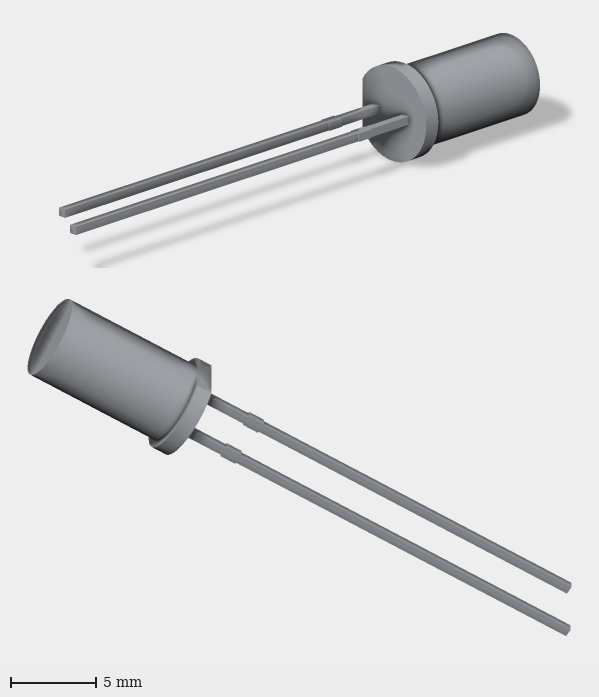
import cadquery as cq

total_length = 36.6
body_length = 9.63
body_diameter = 5.0
flange_diameter = 5.9
flange_thickness = 1.0

lead_spacing = 2.53
lead_thickness = 0.5
short_lead_step = 1.5
stopper_width = 0.7
stopper_length = 1.02
stopper_gap = 3.15

body_radius = body_diameter / 2
long_lead_length = total_length - body_length
short_lead_length = long_lead_length - short_lead_step
lead_embed = flange_thickness / 2


def cylinder_along_y(radius, length):
    """Cylinder on the Y axis from Y = 0 to Y = length."""
    return cq.Workplane("XZ").circle(radius).extrude(-length)


def box_along_y(center_x, width, y_start, y_end):
    """Bar of lead thickness, centred in Z, between two Y positions."""
    length = y_end - y_start
    bar = cq.Workplane("XY").box(width, length, lead_thickness)
    return bar.translate((center_x, (y_start + y_end) / 2, 0))


def make_flange():
    """Round flange with a flat on -X, level with the side of the body."""
    flange = cylinder_along_y(flange_diameter / 2, flange_thickness)
    keep = cq.Workplane("XY").box(
        flange_diameter, body_length, flange_diameter, centered=(False, True, True)
    )
    return flange.intersect(keep.translate((-body_radius, 0, 0)))


def make_lead(center_x, length):
    """Square lead with a wider stopper a short way from the base."""
    lead = box_along_y(center_x, lead_thickness, -length, lead_embed)
    stopper = box_along_y(
        center_x, stopper_width, -stopper_gap - stopper_length, -stopper_gap
    )
    return lead.union(stopper)


result = (
    cylinder_along_y(body_radius, body_length)
    .union(make_flange())
    .union(make_lead(-lead_spacing / 2, short_lead_length))
    .union(make_lead(lead_spacing / 2, long_lead_length))
)